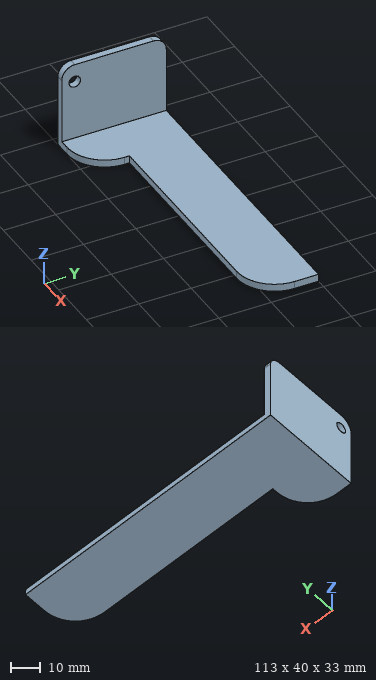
import cadquery as cq

length = 113.0
width = 40.0
height = 33.0
thickness = 2.9

foot_length = 21.0
arm_width = 23.7
base_corner_radius = 14.5

upright_corner_radius = 5.0
hole_diameter = 4.3
hole_from_side = 5.0
hole_from_top = 7.0


def make_base():
    """Flat plate with the foot and arm ends rounded on the -Y side."""
    step_y = width - arm_width
    plate = (
        cq.Workplane("XY")
        .moveTo(0, 0)
        .lineTo(foot_length, 0)
        .lineTo(foot_length, step_y)
        .lineTo(length, step_y)
        .lineTo(length, width)
        .lineTo(0, width)
        .close()
        .extrude(thickness)
    )
    for corner in ((foot_length, 0), (length, step_y)):
        edge = cq.selectors.NearestToPointSelector((*corner, thickness / 2))
        plate = plate.edges(edge).fillet(base_corner_radius)
    return plate


def make_upright():
    """Vertical plate with rounded top corners and one mounting hole."""
    plate = (
        cq.Workplane("XY")
        .box(thickness, width, height, centered=False)
        .edges("|X and >Z")
        .fillet(upright_corner_radius)
    )
    hole = (
        cq.Workplane("YZ")
        .center(hole_from_side, height - hole_from_top)
        .circle(hole_diameter / 2)
        .extrude(thickness)
    )
    return plate.cut(hole)


result = make_base().union(make_upright())